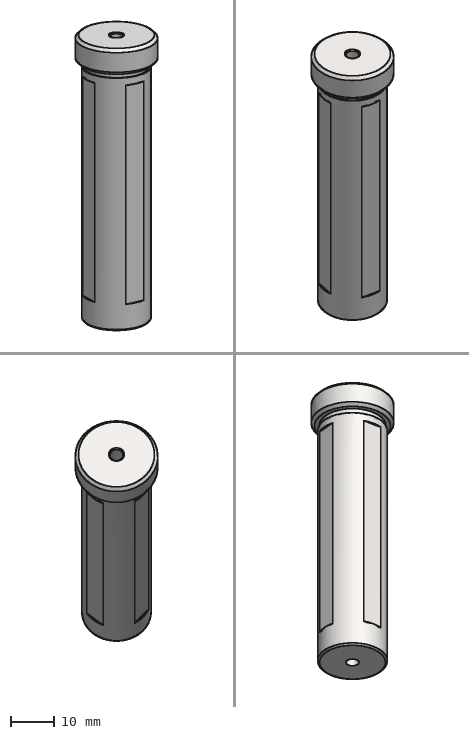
import cadquery as cq

total_length = 69.85
head_diameter = 19.0
head_height = 6.35
head_chamfer = 0.8

shank_diameter = 16.0
shank_chamfer = 0.4
neck_diameter = 15.4
neck_height = 1.25

flat_count = 4
flat_spacing = 15.2
flat_bottom = 6.5
flat_top = 60.35

hole_diameter = 3.0
hole_chamfer = 0.3

head_bottom = total_length - head_height
shank_top = head_bottom - neck_height


def cylinder(diameter, bottom, top):
    """Cylinder about the Z axis between two heights."""
    return cq.Workplane("XY").workplane(offset=bottom).circle(diameter / 2).extrude(top - bottom)


def flat_cutter(angle):
    """Block that cuts one flat into the shank, turned about the Z axis."""
    inner_face = flat_spacing / 2
    block = cq.Workplane("XY").box(
        shank_diameter, shank_diameter, flat_top - flat_bottom, centered=(False, True, False)
    )
    return block.translate((inner_face, 0, flat_bottom)).rotate((0, 0, 0), (0, 0, 1), angle)


shank = cylinder(shank_diameter, 0, shank_top).faces("<Z").chamfer(shank_chamfer)
for index in range(flat_count):
    shank = shank.cut(flat_cutter(index * 360 / flat_count))
neck = cylinder(neck_diameter, shank_top, head_bottom)

head = cylinder(head_diameter, head_bottom, total_length).edges("%CIRCLE").chamfer(head_chamfer)

body = shank.union(neck).union(head)

drilled = body.cut(cylinder(hole_diameter, 0, total_length))
result = drilled.faces(">Z").edges(cq.selectors.RadiusNthSelector(0)).chamfer(hole_chamfer)